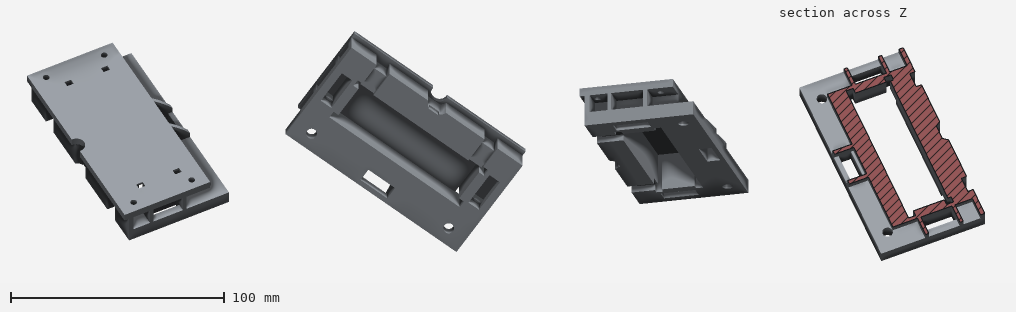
import cadquery as cq
import math

length = 99.0
depth = 55.0
height = 19.0

plate_thickness = 4.0
plate_depth = 45.1
plate_bottom = height - plate_thickness
base_height = 6.6
body_front = 2.4

pocket_length = 9.8
front_pocket_y = (4.8, 13.4)
middle_pocket_y = (15.2, 30.8)
rear_pocket_start = 32.7

sill_width = 3.8
floor_opening_back = 32.0
floor_opening_top = 7.4

cavity_half_length = 34.9
cavity_front = 15.2
cavity_back = 36.2
cavity_top = 17.7
window_length = 2.8
window_depth = 3.4
front_window_center = 15.3
rear_window_center = cavity_back - window_depth / 2

strap_notch_center = 31.2
strap_notch_width = 7.5
strap_notch_depth = 2.7
strap_slot_height = 3.0

cable_center_y = 0.4
plate_notch_radius = 4.1
body_notch_radius = 5.5
body_notch_back = 4.8
cable_recess_width = 5.7
cable_recess_height = 3.7
cable_recess_depth = 0.7

mount_diameter = 4.9
mount_x = 39.7
mount_y = 47.7
screw_diameter = 3.2
screw_x = 44.3
screw_y = (7.4, 38.0)

gusset_inner_x = 7.7
gusset_thickness = 2.3
gusset_back_height = 9.3
gusset_bulge = 0.4
rear_opening_y = (46.4, 52.7)


def box(x_range, y_range, z_range):
    """Box spanning the given (low, high) limits on each axis."""
    sizes = [high - low for low, high in (x_range, y_range, z_range)]
    corner = (x_range[0], y_range[0], z_range[0])
    return cq.Workplane("XY").box(*sizes, centered=False).translate(corner)


def centered_range(center, width):
    return center - width / 2, center + width / 2


def cylinder(x, y, diameter, z_range):
    bottom, top = z_range
    return cq.Workplane("XY", origin=(x, y, bottom)).circle(diameter / 2).extrude(top - bottom)


def gusset(x_start):
    """Web between base and plate whose sloping edge is a shallow convex arc."""
    rise = height - gusset_back_height
    run = depth - plate_depth
    chord = math.hypot(run, rise)
    arc_middle = (
        plate_depth + run / 2 + gusset_bulge * rise / chord,
        gusset_back_height + rise / 2 + gusset_bulge * run / chord,
    )
    return (
        cq.Workplane("YZ", origin=(x_start, 0, 0))
        .moveTo(plate_depth, 0)
        .lineTo(depth, 0)
        .lineTo(depth, gusset_back_height)
        .threePointArc(arc_middle, (plate_depth, height))
        .close()
        .extrude(gusset_thickness)
    )


def body_with_plate():
    full_x = centered_range(0, length)
    base = box(full_x, (body_front, depth), (0, base_height))
    core = box(full_x, (body_front, plate_depth), (0, plate_bottom))
    plate = box(full_x, (0, plate_depth), (plate_bottom, height))
    return base.union(core).union(plate)


def side_pockets():
    """Pockets of the left end, with the floor opening of the middle one."""
    outer_x = -length / 2
    inner_x = outer_x + pocket_length
    pocket_z = (base_height, plate_bottom)
    opening_y = (middle_pocket_y[0], floor_opening_back)
    cut = box((outer_x + sill_width, inner_x), opening_y, (0, floor_opening_top))
    for y_range in (front_pocket_y, middle_pocket_y, (rear_pocket_start, plate_depth)):
        cut = cut.union(box((outer_x, inner_x), y_range, pocket_z))
    return cut


def central_cavity():
    cavity_x = centered_range(0, 2 * cavity_half_length)
    cut = box(cavity_x, (cavity_front, cavity_back), (0, cavity_top))
    window_x = cavity_half_length + window_length / 2
    for x in (-window_x, window_x):
        for y in (front_window_center, rear_window_center):
            x_range = centered_range(x, window_length)
            y_range = centered_range(y, window_depth)
            cut = cut.union(box(x_range, y_range, (0, height)))
    return cut


def strap_notch(x):
    """Front notch with a low slot running from it into the cavity."""
    x_range = centered_range(x, strap_notch_width)
    notch = box(x_range, (body_front, body_front + strap_notch_depth), (0, plate_bottom))
    slot = box(x_range, (body_front, cavity_front), (0, strap_slot_height))
    return notch.union(slot)


def cable_notch():
    """Round notch, wider in the body than in the plate, with a shallow recess in its flat back."""
    plate_cut = cylinder(0, cable_center_y, 2 * plate_notch_radius, (plate_bottom, height))
    body_cut = cylinder(0, cable_center_y, 2 * body_notch_radius, (0, plate_bottom))
    body_limit = box(centered_range(0, length), (0, body_notch_back), (0, plate_bottom))
    recess_y = (body_notch_back, body_notch_back + cable_recess_depth)
    recess = box(centered_range(0, cable_recess_width), recess_y, (0, cable_recess_height))
    return plate_cut.union(body_cut.intersect(body_limit)).union(recess)


result = body_with_plate()

for gusset_x in (-gusset_inner_x - gusset_thickness, gusset_inner_x):
    result = result.union(gusset(gusset_x))

left_pockets = side_pockets()
result = result.cut(left_pockets).cut(left_pockets.mirror("YZ"))
result = result.cut(central_cavity())
result = result.cut(cable_notch())
result = result.cut(box((-gusset_inner_x, gusset_inner_x), rear_opening_y, (0, base_height)))

for side in (-1, 1):
    result = result.cut(strap_notch(side * strap_notch_center))
    result = result.cut(cylinder(side * mount_x, mount_y, mount_diameter, (0, base_height)))
    for y in screw_y:
        result = result.cut(cylinder(side * screw_x, y, screw_diameter, (plate_bottom, height)))